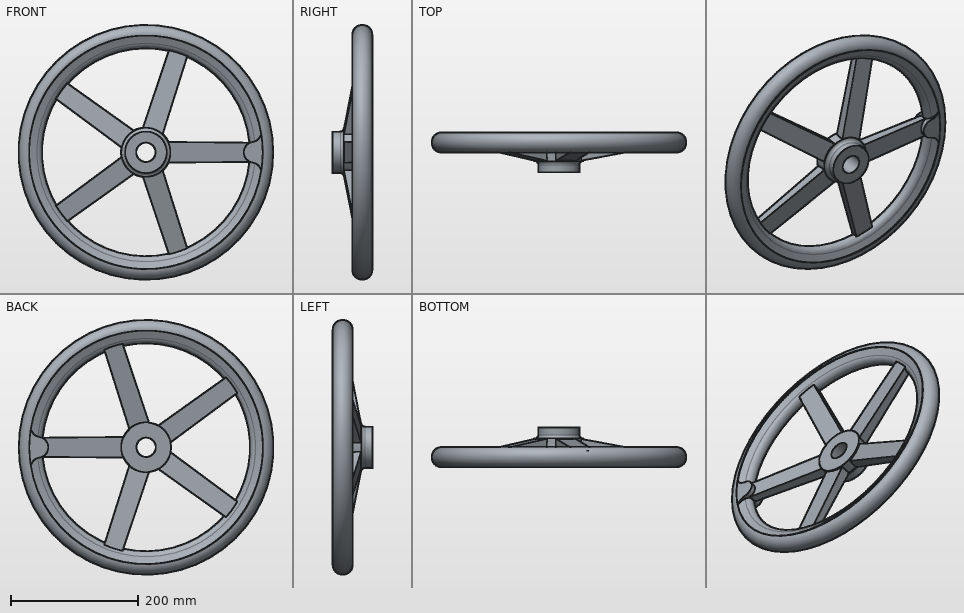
import cadquery as cq
import math

outer_radius = 200.0
overall_depth = 62.8
rim_depth = 32.0
rim_half = rim_depth / 2
hub_reach = overall_depth - rim_half

grip_radius = outer_radius - rim_half
step_depth = 1.0
step_width = 0.8
web_inner_radius = 171.0
web_half = 10.5
rim_inner_radius = 162.8

bore_diameter = 30.0
collar_diameter = 65.0
collar_radius = collar_diameter / 2
collar_length = 12.0
flare_length = 5.5
flare_radius = 38.5
hub_radius = 39.0
hub_back = -8.8

spoke_count = 5
spoke_start = 34.5
spoke_end = 168.0
spoke_front_at_hub = -28.8
spoke_front_at_rim = -4.0
spoke_depth_at_hub = 17.0
spoke_depth_at_rim = 12.5
spoke_half_width_at_hub = 16.5
spoke_half_width_at_rim = 15.0

boss_tip = 153.5
boss_shoulder = 162.5
boss_shoulder_half_width = 14.8
boss_neck = 168.0
boss_neck_half_width = 16.5
boss_root = 180.0
boss_root_half_width = 26.5
boss_flare = 175.5
boss_flare_half_width = 20.0
boss_half_depth = rim_half - step_depth


def revolve_about_y(profile):
    return profile.close().revolve(360, (0, 0, 0), (0, 1, 0))


def make_rim():
    step_radius = grip_radius - step_width
    step_half = rim_half - step_depth
    profile = (
        cq.Workplane("XY")
        .moveTo(grip_radius, -rim_half)
        .threePointArc((outer_radius, 0), (grip_radius, rim_half))
        .lineTo(step_radius, rim_half)
        .lineTo(step_radius, step_half)
        .lineTo(web_inner_radius, web_half)
        .threePointArc((rim_inner_radius, 0), (web_inner_radius, -web_half))
        .lineTo(step_radius, -step_half)
        .lineTo(step_radius, -rim_half)
    )
    return revolve_about_y(profile)


def make_hub():
    flare_front = -hub_reach + collar_length
    flare_back = flare_front + flare_length
    flare_middle = (
        collar_radius + (flare_radius - collar_radius) * (1 - math.sqrt(0.5)),
        flare_front + flare_length * math.sqrt(0.5),
    )
    profile = (
        cq.Workplane("XY")
        .moveTo(0, -hub_reach)
        .lineTo(collar_radius, -hub_reach)
        .lineTo(collar_radius, flare_front)
        .threePointArc(flare_middle, (flare_radius, flare_back))
        .lineTo(hub_radius, hub_back)
        .lineTo(0, hub_back)
    )
    return revolve_about_y(profile)


def make_spoke():
    def section(radius, half_width, front, depth):
        return cq.Wire.makePolygon(
            [
                cq.Vector(radius, front, -half_width),
                cq.Vector(radius, front, half_width),
                cq.Vector(radius, front + depth, half_width),
                cq.Vector(radius, front + depth, -half_width),
            ],
            close=True,
        )

    hub_end = section(spoke_start, spoke_half_width_at_hub, spoke_front_at_hub, spoke_depth_at_hub)
    rim_end = section(spoke_end, spoke_half_width_at_rim, spoke_front_at_rim, spoke_depth_at_rim)
    return cq.Workplane(cq.Solid.makeLoft([hub_end, rim_end], True))


def make_boss():
    return (
        cq.Workplane("XZ")
        .moveTo(grip_radius, -boss_root_half_width)
        .lineTo(boss_root, -boss_root_half_width)
        .threePointArc((boss_flare, -boss_flare_half_width), (boss_neck, -boss_neck_half_width))
        .lineTo(boss_shoulder, -boss_shoulder_half_width)
        .threePointArc((boss_tip, 0), (boss_shoulder, boss_shoulder_half_width))
        .lineTo(boss_neck, boss_neck_half_width)
        .threePointArc((boss_flare, boss_flare_half_width), (boss_root, boss_root_half_width))
        .lineTo(grip_radius, boss_root_half_width)
        .close()
        .extrude(boss_half_depth, both=True)
    )


wheel = make_rim().union(make_hub()).union(make_boss())
for index in range(spoke_count):
    angle = index * 360 / spoke_count
    wheel = wheel.union(make_spoke().rotate((0, 0, 0), (0, 1, 0), angle))

bore = cq.Workplane("XZ").circle(bore_diameter / 2).extrude(overall_depth, both=True)
result = wheel.cut(bore)